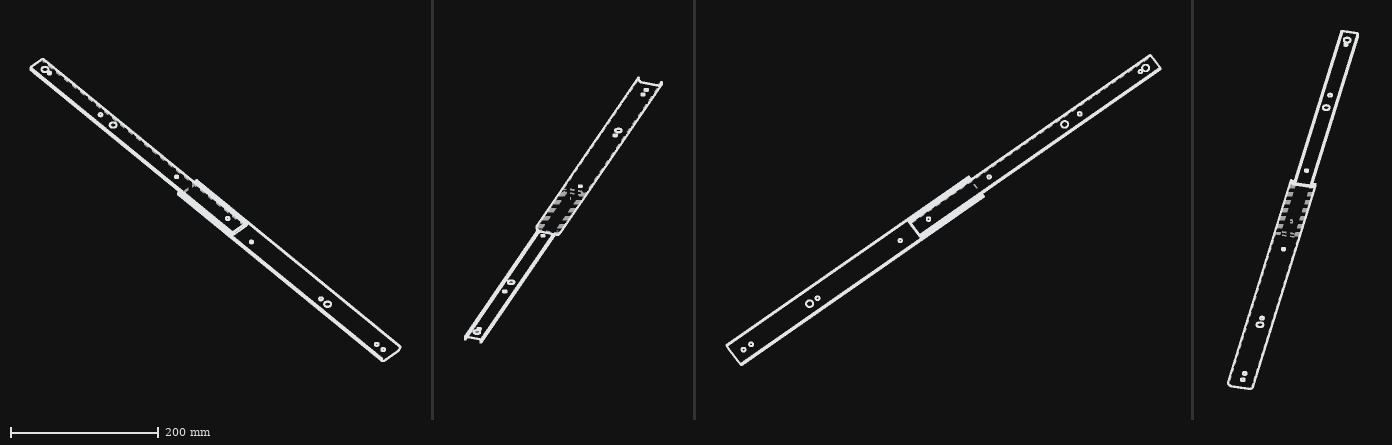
import cadquery as cq
import math

total_length = 708.4
inner_length = 404.5
outer_start = 301.0
outer_length = total_length - outer_start

total_width = 35.3
total_height = 9.6

outer_sheet = 1.2
race_radius = 3.8
race_center_z = 5.6
race_center_y = total_width / 2 - race_radius
side_slope = math.radians(50)
lip_angle = math.radians(40)
floor_bend_radius = 2.5

inner_sheet = 1.2
inner_width = 24.0
inner_depth = 6.0
inner_bend_radius = 2.2
groove_depth = 0.4

cage_web_bottom = 2.8
cage_web_top = 3.4
cage_web_width = 27.2
retainer_shoulder = 4.0
retainer_top = 7.2
retainer_chamfer = 1.0
retainer_outer_y = 15.0
retainer_inner_y = 12.4
cage_length = inner_length - outer_start

access_hole = 9.4
mount_hole = 5.3
rivet_hole = 4.6
small_hole = 4.8

inner_holes = [
    (16.2, access_hole),
    (25.0, small_hole),
    (127.2, mount_hole),
    (152.5, access_hole),
    (279.5, rivet_hole),
    (381.5, mount_hole),
]
outer_holes = [
    (429.0, rivet_hole),
    (568.2, mount_hole),
    (581.5, access_hole),
    (679.8, mount_hole),
    (692.6, mount_hole),
]


def drill(body, holes):
    """Cut round through holes along Z on the centre line."""
    for x, diameter in holes:
        body = body.cut(cq.Workplane("XY").center(x, 0).circle(diameter / 2).extrude(total_height))
    return body


def race_point(radius, angle, side):
    """Point on a race wall; the angle is the elevation seen from the race centre."""
    y = race_center_y + radius * math.cos(angle)
    z = race_center_z + radius * math.sin(angle)
    return (side * y, z)


def slope_foot(radius, height):
    """Distance from the centre line to where a sloping side reaches the given height."""
    y, z = race_point(radius, side_slope - math.pi / 2, 1)
    return y - (z - height) / math.tan(side_slope)


def make_outer_rail():
    inside_radius = race_radius - outer_sheet
    slope_end = side_slope - math.pi / 2
    bottom_y = slope_foot(race_radius, 0)
    floor_y = slope_foot(inside_radius, outer_sheet)
    section = (
        cq.Workplane("YZ", origin=(outer_start, 0, 0))
        .moveTo(-bottom_y, 0)
        .lineTo(bottom_y, 0)
        .lineTo(*race_point(race_radius, slope_end, 1))
        .threePointArc(race_point(race_radius, 0, 1), race_point(race_radius, lip_angle, 1))
        .lineTo(*race_point(inside_radius, lip_angle, 1))
        .threePointArc(race_point(inside_radius, 0, 1), race_point(inside_radius, slope_end, 1))
        .lineTo(floor_y, outer_sheet)
        .lineTo(-floor_y, outer_sheet)
        .lineTo(*race_point(inside_radius, slope_end, -1))
        .threePointArc(race_point(inside_radius, 0, -1), race_point(inside_radius, lip_angle, -1))
        .lineTo(*race_point(race_radius, lip_angle, -1))
        .threePointArc(race_point(race_radius, 0, -1), race_point(race_radius, slope_end, -1))
        .close()
    )
    rail = section.extrude(outer_length)
    middle_x = outer_start + outer_length / 2
    for side in (-1, 1):
        inside_corner = cq.selectors.NearestToPointSelector((middle_x, side * floor_y, outer_sheet))
        rail = rail.edges(inside_corner).fillet(floor_bend_radius)
        outside_corner = cq.selectors.NearestToPointSelector((middle_x, side * bottom_y, 0))
        rail = rail.edges(outside_corner).fillet(floor_bend_radius + outer_sheet)
    return drill(rail, outer_holes)


def make_inner_rail():
    half_width = inner_width / 2
    foot_z = total_height - inner_depth
    bend_z = total_height - inner_bend_radius
    middle_z = (foot_z + bend_z) / 2
    web_y = half_width - inner_bend_radius
    inside_y = half_width - inner_sheet
    inside_top = total_height - inner_sheet
    inside_bend = inner_bend_radius - inner_sheet
    diagonal = math.sqrt(0.5)
    bend_y = web_y + inner_bend_radius * diagonal
    bend_top = bend_z + inner_bend_radius * diagonal
    inside_bend_y = web_y + inside_bend * diagonal
    inside_bend_top = bend_z + inside_bend * diagonal
    half_section = (
        cq.Workplane("YZ")
        .moveTo(0, inside_top)
        .lineTo(web_y, inside_top)
        .threePointArc((inside_bend_y, inside_bend_top), (inside_y, bend_z))
        .threePointArc((inside_y - groove_depth, middle_z), (inside_y, foot_z))
        .lineTo(half_width, foot_z)
        .threePointArc((half_width - groove_depth, middle_z), (half_width, bend_z))
        .threePointArc((bend_y, bend_top), (web_y, total_height))
        .lineTo(0, total_height)
        .close()
    )
    half_rail = half_section.extrude(inner_length)
    rail = half_rail.union(half_rail.mirror("XZ")).clean()
    return drill(rail, inner_holes)


def make_ball_cage():
    half_points = [
        (cage_web_width / 2, cage_web_bottom),
        (retainer_outer_y, retainer_shoulder),
        (retainer_outer_y, retainer_top - retainer_chamfer),
        (retainer_outer_y - retainer_chamfer, retainer_top),
        (retainer_inner_y, retainer_top),
        (retainer_inner_y, cage_web_top),
    ]
    mirrored_points = [(-y, z) for y, z in reversed(half_points)]
    section = cq.Workplane("YZ", origin=(outer_start, 0, 0)).polyline(half_points + mirrored_points)
    return section.close().extrude(cage_length)


outer_rail = make_outer_rail()
inner_rail = make_inner_rail()
ball_cage = make_ball_cage()

result = cq.Compound.makeCompound([outer_rail.val(), inner_rail.val(), ball_cage.val()])